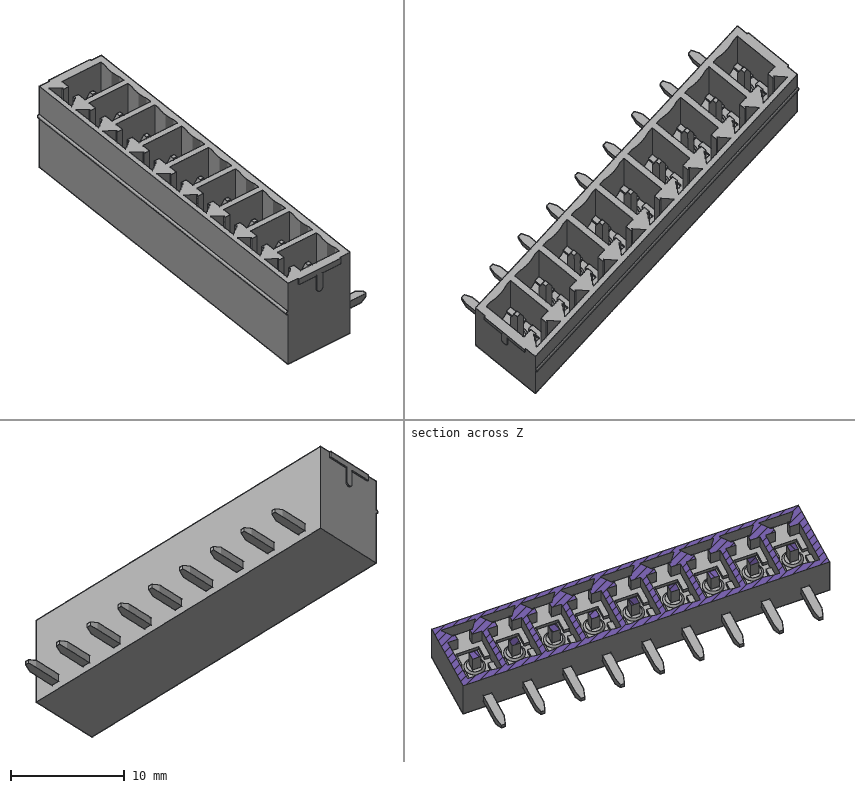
import cadquery as cq

positions = 9
row_length = 30.48
pitch = row_length / (positions - 1)

overall_length = 35.48
end_pad_thickness = 0.15
housing_length = overall_length - 2 * end_pad_thickness
housing_depth = 7.0
housing_height = 9.2
front_face_y = -housing_depth / 2
back_face_y = housing_depth / 2

rib_radius = 0.2
rib_z = 5.82

pad_bar_width = 4.72
pad_bar_height = 0.65
pad_stem_width = 0.65
pad_total_height = 2.55

cavity_width = 3.23
back_wall = 0.65
front_wall = 0.5
cavity_back_y = back_face_y - back_wall
cavity_length = 4.35
cavity_front_y = cavity_back_y - cavity_length
ledge_z = 2.65

neck_width = 1.4
neck_length = 0.6
flank_step = 0.1
keyway_top_width = 1.75
keyway_front_y = front_face_y + front_wall
keyway_neck_y = cavity_front_y - neck_length
flank_start_y = keyway_neck_y + flank_step

floor_width = 2.15
floor_length = 3.83
floor_z = 2.3
groove_width = 0.75

bow_height = 0.15

boss_diameter = 1.9
boss_top_diameter = 1.5
boss_height = 0.18

pin_width = 0.8
pin_y = 0.67
pin_lead_z = 1.2
pin_lead_length = 3.5
pin_tip_z = 7.88
tip_length = 0.75
tip_width = 0.4
lead_end_y = back_face_y + pin_lead_length

position_xs = [(i - (positions - 1) / 2) * pitch for i in range(positions)]


def box(width, y_front, y_back, z_bottom, z_top):
    """Block centred on X = 0, given by its limits in Y and Z."""
    return (
        cq.Workplane("XY")
        .box(width, y_back - y_front, z_top - z_bottom, centered=(True, False, False))
        .translate((0, y_front, z_bottom))
    )


def make_end_pad():
    """T-shaped pad, symmetric in X, that stands out at both ends of the housing."""
    stem_radius = pad_stem_width / 2
    stem_end_z = housing_height - pad_total_height + stem_radius
    bar = (
        cq.Workplane("XY")
        .box(overall_length, pad_bar_width, pad_bar_height)
        .translate((0, 0, housing_height - pad_bar_height / 2))
    )
    stem = box(overall_length, -stem_radius, stem_radius, stem_end_z, housing_height)
    stem_end = (
        cq.Workplane("YZ")
        .center(0, stem_end_z)
        .circle(stem_radius)
        .extrude(overall_length / 2, both=True)
    )
    return bar.union(stem).union(stem_end)


def make_rib():
    """Round bar centred on the front face, so half of it stands out."""
    return (
        cq.Workplane("YZ")
        .center(front_face_y, rib_z)
        .circle(rib_radius)
        .extrude(housing_length / 2, both=True)
    )


def make_cavity():
    """Space for one contact: chamber, dovetail keyway, sunken floor and boss."""
    half_cavity = cavity_width / 2
    half_floor = floor_width / 2
    half_neck = neck_width / 2
    half_key = keyway_top_width / 2
    chamber = (
        cq.Workplane("XY")
        .workplane(offset=ledge_z)
        .moveTo(half_floor, cavity_back_y)
        .lineTo(half_cavity, cavity_back_y)
        .lineTo(half_cavity, cavity_front_y)
        .lineTo(half_neck, cavity_front_y)
        .lineTo(half_neck, keyway_neck_y)
        .lineTo(half_key, keyway_neck_y)
        .lineTo(half_key, flank_start_y)
        .lineTo(half_cavity, keyway_front_y)
        .lineTo(-half_cavity, keyway_front_y)
        .lineTo(-half_key, flank_start_y)
        .lineTo(-half_key, keyway_neck_y)
        .lineTo(-half_neck, keyway_neck_y)
        .lineTo(-half_neck, cavity_front_y)
        .lineTo(-half_cavity, cavity_front_y)
        .lineTo(-half_cavity, cavity_back_y)
        .lineTo(-half_floor, cavity_back_y)
        .threePointArc((0, cavity_back_y - bow_height), (half_floor, cavity_back_y))
        .close()
        .extrude(housing_height - ledge_z)
    )
    sunken_floor = (
        cq.Workplane("XY")
        .workplane(offset=floor_z)
        .moveTo(half_floor, cavity_back_y)
        .lineTo(half_floor, cavity_back_y - floor_length)
        .lineTo(-half_floor, cavity_back_y - floor_length)
        .lineTo(-half_floor, cavity_back_y)
        .threePointArc((0, cavity_back_y - bow_height), (half_floor, cavity_back_y))
        .close()
        .extrude(ledge_z - floor_z)
    )
    cross_groove = box(
        cavity_width, pin_y - groove_width / 2, pin_y + groove_width / 2, floor_z, ledge_z
    )
    boss = (
        cq.Workplane("XY")
        .workplane(offset=floor_z)
        .center(0, pin_y)
        .circle(boss_diameter / 2)
        .workplane(offset=boss_height)
        .circle(boss_top_diameter / 2)
        .loft()
    )
    return chamber.union(sunken_floor).union(cross_groove).cut(boss)


def make_pin():
    """Square bent pin: lead out of the back, upright contact, both ends tapered."""
    half_pin = pin_width / 2
    lead_bottom_z = pin_lead_z - half_pin
    taper_start_y = lead_end_y - tip_length
    taper_start_z = pin_tip_z - tip_length
    lead = box(
        pin_width, pin_y - half_pin, taper_start_y, lead_bottom_z, lead_bottom_z + pin_width
    )
    upright = box(pin_width, pin_y - half_pin, pin_y + half_pin, lead_bottom_z, taper_start_z)
    lead_tip = (
        cq.Workplane("XZ", origin=(0, taper_start_y, pin_lead_z))
        .rect(pin_width, pin_width)
        .workplane(offset=-tip_length)
        .rect(tip_width, tip_width)
        .loft()
    )
    upright_tip = (
        cq.Workplane("XY", origin=(0, pin_y, taper_start_z))
        .rect(pin_width, pin_width)
        .workplane(offset=tip_length)
        .rect(tip_width, tip_width)
        .loft()
    )
    return lead.union(upright).union(lead_tip).union(upright_tip)


def make_housing(pins):
    """Shell with a cavity for every position and a fitting passage for every pin."""
    body = box(housing_length, front_face_y, back_face_y, 0, housing_height)
    body = body.union(make_end_pad()).union(make_rib())
    cavity = make_cavity()
    for x in position_xs:
        body = body.cut(cavity.translate((x, 0, 0)))
    for pin in pins:
        body = body.cut(pin)
    return body


single_pin = make_pin()
pins = [single_pin.translate((x, 0, 0)) for x in position_xs]
housing = make_housing(pins)

result = cq.Compound.makeCompound([housing.val(), *[pin.val() for pin in pins]])